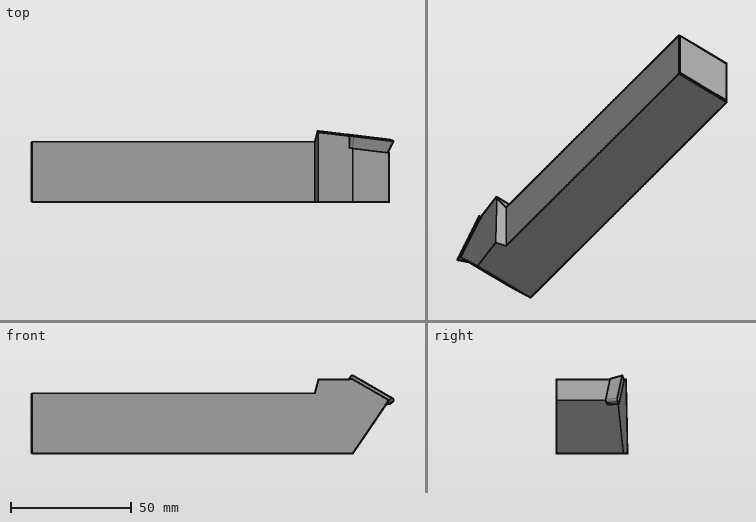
import cadquery as cq
import math

shank_size = 25.0
shank_length = 117.3
end_chamfer = 0.5

head_height = 30.8
head_width = 29.5
step_lean = math.tan(math.radians(15))
slope_start = 133.0
nose_x = 148.0
slope_angle = math.radians(30)
nose_z = head_height - (nose_x - slope_start) * math.tan(slope_angle)

taper = math.tan(math.radians(7))
back_lean = 0.6

insert_thickness = 2.7
insert_width = 5.1
insert_front_y = 22.4
insert_overhang = 1.2
insert_rise = 1.5
upper_end_skew = 0.8
inner_length = 18.9
outer_length = 21.0
nose_relief = 1.0
end_rounding = 0.9
pocket_clearance = 4.5


def make_blank():
    """Shank and head: the side outline and the plan outline intersected."""
    head_start = shank_length + (head_height - shank_size) * step_lean
    side = (
        cq.Workplane("XZ")
        .polyline([
            (0, 0), (slope_start, 0), (nose_x, nose_z), (slope_start, head_height),
            (head_start, head_height), (shank_length, shank_size), (0, shank_size),
        ])
        .close()
        .extrude(-head_width)
    )

    def plan_outline(back_y):
        back_start = shank_length + (back_y - shank_size) * step_lean
        nose_y = back_y - (nose_x - back_start) * taper
        return [
            (0, 0), (nose_x, 0), (nose_x, nose_y), (back_start, back_y),
            (shank_length, shank_size), (0, shank_size),
        ]

    plan = (
        cq.Workplane("XY")
        .polyline(plan_outline(head_width))
        .close()
        .workplane(offset=head_height)
        .polyline(plan_outline(head_width - back_lean))
        .close()
        .loft(ruled=True)
    )
    return side.intersect(plan).faces("<X").chamfer(end_chamfer)


def make_insert_plane():
    """Top face of the insert: X along its inner edge, Y out across its width."""
    down_slope = cq.Vector(math.cos(slope_angle), 0, -math.sin(slope_angle))
    slope_normal = cq.Vector(math.sin(slope_angle), 0, math.cos(slope_angle))
    corner = cq.Vector(slope_start, insert_front_y, head_height) - down_slope * insert_overhang
    along = (down_slope - cq.Vector(0, taper * math.cos(slope_angle), 0)).normalized()
    across = cq.Vector(0, insert_width, 0) + slope_normal * insert_rise
    return cq.Plane(origin=corner, xDir=along, normal=along.cross(across))


def make_plate(width):
    """Plate with the insert's end faces, carried on to the given width."""
    upper_slant = upper_end_skew / insert_width
    nose_slant = (outer_length - upper_end_skew - inner_length) / insert_width

    def outline(setback):
        nose = inner_length - setback
        return [(0, 0), (nose, 0), (nose + width * nose_slant, width), (-width * upper_slant, width)]

    return (
        cq.Workplane(make_insert_plane())
        .polyline(outline(0))
        .close()
        .workplane(offset=-insert_thickness)
        .polyline(outline(nose_relief))
        .close()
        .loft(ruled=True)
    )


def make_insert():
    """Plate with the top edges of its upper end and its nose rounded."""
    plate = make_plate(insert_width)
    top_normal = make_insert_plane().zDir
    top_face = plate.faces(cq.selectors.DirectionMinMaxSelector(top_normal))
    x_axis = cq.Vector(1, 0, 0)
    upper_edge = cq.selectors.CenterNthSelector(x_axis, 0)
    nose_edge = cq.selectors.CenterNthSelector(x_axis, -1)
    end_edges = top_face.edges(upper_edge + nose_edge)
    return end_edges.fillet(end_rounding)


insert = make_insert()
pocket = make_plate(insert_width + pocket_clearance)
holder = make_blank().cut(pocket)

result = cq.Compound.makeCompound([holder.solids().val(), insert.solids().val()])